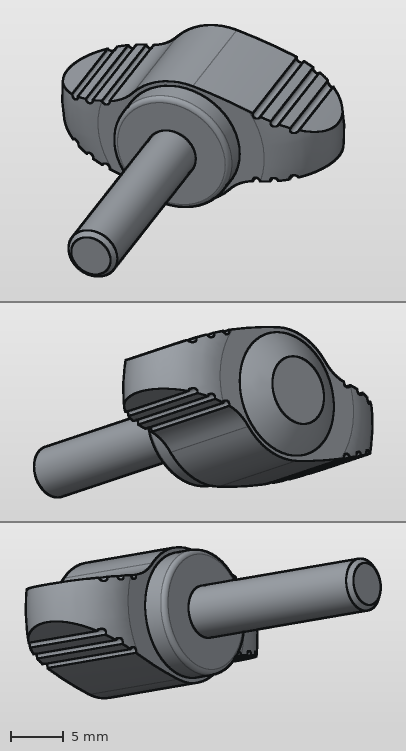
import cadquery as cq
import math

WING_DEPTH = 11.0
COLLAR_LENGTH = 2.4
STEM_LENGTH = 20.0
DOME_HEIGHT = 35 - WING_DEPTH - COLLAR_LENGTH - STEM_LENGTH
HALF_DEPTH = WING_DEPTH / 2

STEM_RADIUS = 5.0 / 2
COLLAR_RADIUS = 12.0 / 2
DOME_TOP_RADIUS = 3.3
STEM_CHAMFER = 0.5
COLLAR_FILLET = 0.5

SPAN_RADIUS = 14.0
HUB_RADIUS = 13.0 / 2
BACK_START_X = 1.2
BACK_TIP_Z = 2.05
NECK_START_X = -4.9
NECK_END = (-7.52, 2.7)
STRAIGHT_TIP_Z = 1.47

GROOVE_RADIUS = 0.4
GROOVE_FIRST_X = 7.7
GROOVE_PITCH = 1.75
GROOVE_COUNT = 3


def on_hub(x):
    """Point on the upper half of the hub circle."""
    return (x, math.sqrt(HUB_RADIUS**2 - x**2))


def half_turn(point):
    """The same point on the opposite wing."""
    return (-point[0], -point[1])


BACK_START = on_hub(BACK_START_X)
BACK_TIP = (SPAN_RADIUS, BACK_TIP_Z)
NECK_START = on_hub(NECK_START_X)
STRAIGHT_TIP = (-SPAN_RADIUS, STRAIGHT_TIP_Z)

normal_x = BACK_START[0] / HUB_RADIUS
normal_z = BACK_START[1] / HUB_RADIUS
chord_x = BACK_TIP[0] - BACK_START[0]
chord_z = BACK_TIP[1] - BACK_START[1]
BACK_RADIUS = -(chord_x**2 + chord_z**2) / (2 * (chord_x * normal_x + chord_z * normal_z))
BACK_CENTER = (BACK_START[0] - BACK_RADIUS * normal_x, BACK_START[1] - BACK_RADIUS * normal_z)


def bulging_flank_z(x):
    return BACK_CENTER[1] + math.sqrt(BACK_RADIUS**2 - (x - BACK_CENTER[0])**2)


def straight_flank_z(x):
    slope = (NECK_END[1] - STRAIGHT_TIP[1]) / (NECK_END[0] - STRAIGHT_TIP[0])
    return NECK_END[1] + slope * (x - NECK_END[0])


def wing_prism():
    """Outline with half-turn symmetry, extruded through the wing depth."""
    hub_top = (0, HUB_RADIUS)
    return (
        cq.Workplane("XZ", origin=(0, HALF_DEPTH, 0))
        .moveTo(*STRAIGHT_TIP)
        .lineTo(*NECK_END)
        .tangentArcPoint(NECK_START, relative=False)
        .threePointArc(hub_top, BACK_START)
        .tangentArcPoint(BACK_TIP, relative=False)
        .lineTo(*half_turn(STRAIGHT_TIP))
        .lineTo(*half_turn(NECK_END))
        .tangentArcPoint(half_turn(NECK_START), relative=False)
        .threePointArc(half_turn(hub_top), half_turn(BACK_START))
        .tangentArcPoint(half_turn(BACK_TIP), relative=False)
        .close()
        .extrude(WING_DEPTH)
    )


def rounded_disc():
    """Disc about Y whose full-round rim shapes the wing tips."""
    flat_radius = SPAN_RADIUS - HALF_DEPTH
    return (
        cq.Workplane("XY")
        .moveTo(0, -HALF_DEPTH)
        .lineTo(flat_radius, -HALF_DEPTH)
        .threePointArc((SPAN_RADIUS, 0), (flat_radius, HALF_DEPTH))
        .lineTo(0, HALF_DEPTH)
        .close()
        .revolve(360, (0, 0), (0, 1))
    )


def grip_grooves():
    """Round grooves centred on both flanks of both wings."""
    centers = []
    for i in range(GROOVE_COUNT):
        x = GROOVE_FIRST_X + i * GROOVE_PITCH
        for center in ((x, bulging_flank_z(x)), (-x, straight_flank_z(-x))):
            centers += [center, half_turn(center)]
    return (
        cq.Workplane("XZ", origin=(0, HALF_DEPTH, 0))
        .pushPoints(centers)
        .circle(GROOVE_RADIUS)
        .extrude(WING_DEPTH)
    )


def dome():
    """Spherical cap with a flat top, on the +Y side."""
    sphere_drop = (COLLAR_RADIUS**2 - DOME_TOP_RADIUS**2 - DOME_HEIGHT**2) / (2 * DOME_HEIGHT)
    sphere_radius = math.hypot(COLLAR_RADIUS, sphere_drop)
    middle_height = DOME_HEIGHT / 2
    middle_radius = math.sqrt(sphere_radius**2 - (sphere_drop + middle_height)**2)
    return (
        cq.Workplane("XY", origin=(0, HALF_DEPTH, 0))
        .lineTo(COLLAR_RADIUS, 0)
        .threePointArc((middle_radius, middle_height), (DOME_TOP_RADIUS, DOME_HEIGHT))
        .lineTo(0, DOME_HEIGHT)
        .close()
        .revolve(360, (0, 0), (0, 1))
    )


def collar():
    return (
        cq.Workplane("XZ", origin=(0, -HALF_DEPTH, 0))
        .circle(COLLAR_RADIUS)
        .extrude(COLLAR_LENGTH)
        .faces("<Y")
        .edges()
        .fillet(COLLAR_FILLET)
    )


def stem():
    return (
        cq.Workplane("XZ", origin=(0, -HALF_DEPTH - COLLAR_LENGTH, 0))
        .circle(STEM_RADIUS)
        .extrude(STEM_LENGTH)
        .faces("<Y")
        .edges()
        .chamfer(STEM_CHAMFER)
    )


wings = wing_prism().intersect(rounded_disc()).cut(grip_grooves())
result = wings.union(dome()).union(collar()).union(stem())